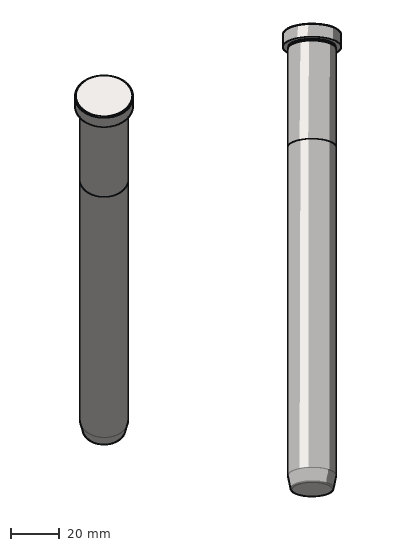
import cadquery as cq

total_length = 200.0
head_diameter = 24.0
head_height = 6.0
head_chamfer = 0.5
shank_diameter = 20.0
joint_height = 150.0
relief_width = 1.0
relief_depth = 0.2
relief_runout = 0.5
tip_height = 6.0
tip_end_diameter = 17.5
tip_edge_radius = 0.5

head_radius = head_diameter / 2
shank_radius = shank_diameter / 2
head_underside = total_length - head_height


def make_headed_section():
    """Upper body: chamfered head, shallow relief groove with a sloped run-out and the fitted shank."""
    profile = (
        cq.Workplane("XZ")
        .moveTo(0, joint_height)
        .lineTo(shank_radius, joint_height)
        .lineTo(shank_radius, head_underside - relief_width)
        .lineTo(shank_radius - relief_depth, head_underside - relief_width + relief_runout)
        .lineTo(shank_radius - relief_depth, head_underside)
        .lineTo(head_radius, head_underside)
        .lineTo(head_radius, total_length)
        .lineTo(0, total_length)
        .close()
    )
    headed = profile.revolve(360, (0, 0, 0), (0, 1, 0))
    return headed.faces(">Z").chamfer(head_chamfer)


def make_guide_section():
    """Lower body: plain shank ending in a tapered lead-in tip with a rounded edge."""
    profile = (
        cq.Workplane("XZ")
        .lineTo(tip_end_diameter / 2, 0)
        .lineTo(shank_radius, tip_height)
        .lineTo(shank_radius, joint_height)
        .lineTo(0, joint_height)
        .close()
    )
    guide = profile.revolve(360, (0, 0, 0), (0, 1, 0))
    return guide.faces("<Z").edges().fillet(tip_edge_radius)


headed_section = make_headed_section()
guide_section = make_guide_section()

result = cq.Compound.makeCompound([headed_section.val(), guide_section.val()])